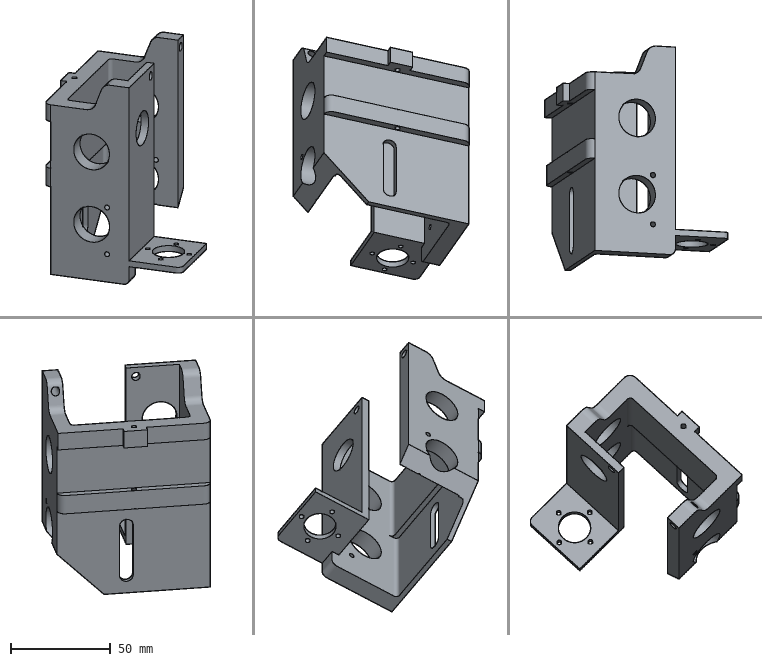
import cadquery as cq

height = 106
body_length = 42.0
body_width = 78.0
side_wall = 5.4
lower_side_wall = 2.8
front_arm = 9.0
back_arm = 8.0
lower_back_arm = 8.4
inner_radius = 2.0

shoulder_z = 91.2
slope_start_x = 22.7
slope_end_x = 28.4
slope_radius = 5.0
bottom_radius = 3.0
corner_cut_width = 24.1
corner_cut_height = 23.7

flange_width = 36
flange_thickness = 4.0
flange_bore = 17.8
flange_bore_y = 19.0
flange_bore_z = 77.4
plate_length = 28.0
plate_z = 9.9
plate_thickness = 3.2
plate_radius = 3.0
plate_bore = 16.1
plate_bore_x = body_length + 14.0
plate_bore_y = flange_bore_y
plate_screw = 2.3
plate_screw_circle = 22.0

rail_depth = 3.7
rail_radius = 4.0
top_rail_height = 9.0
middle_rail_z = 47.1
middle_rail_height = 10.0
lug_reach = 7.0
lug_y = 33.1
lug_width = 12.0
guide_hole = 2.5
guide_hole_x = -1.8

bore_diameter = 19.1
bore_x = 21.9
lower_bore_z = 29.9
upper_bore_z = 68.8
arm_screw = 2.5
arm_screw_x = 30.2
arm_screw_heights = (14.9, 40.1)

pivot_diameter = 4.2
pivot_z = 101.0
pivot_positions = (31.1, 74.0)
slot_y = 42.6
slot_width = 7.0
slot_bottom = 6.4
slot_top = 40.1


def block(x0, x1, y0, y1, z0, z1):
    """Box between opposite corner coordinates."""
    return cq.Workplane("XY").box(x1 - x0, y1 - y0, z1 - z0, centered=False).translate((x0, y0, z0))


def hole_x(diameter, y, z):
    """Cylinder along X through the whole body."""
    return cq.Workplane("YZ").center(y, z).circle(diameter / 2).extrude(body_length)


def hole_y(diameter, x, z):
    """Cylinder along Y through both arms."""
    return cq.Workplane("XZ").center(x, z).circle(diameter / 2).extrude(-body_width)


def hole_z(diameter, x, y):
    """Cylinder along Z through the full height."""
    return cq.Workplane("XY").center(x, y).circle(diameter / 2).extrude(height)


def make_body():
    """U-shaped wall with a flange; the cavity changes width below the middle rail."""
    outline = (
        cq.Workplane("XZ")
        .polyline([
            (0, 0),
            (body_length, 0),
            (body_length, height),
            (slope_end_x, height),
            (slope_start_x, shoulder_z),
            (0, shoulder_z),
        ])
        .close()
        .extrude(-body_width)
    )
    for x, z, radius in (
        (body_length, 0, bottom_radius),
        (slope_end_x, height, slope_radius),
        (slope_start_x, shoulder_z, slope_radius),
    ):
        outline = outline.edges(cq.selectors.NearestToPointSelector((x, body_width / 2, z))).fillet(radius)

    cavity = block(side_wall, body_length, front_arm, body_width - back_arm, 0, height)
    cavity = cavity.edges("|Z and <X").fillet(inner_radius)
    lower_cavity = block(
        lower_side_wall, body_length,
        front_arm, body_width - lower_back_arm,
        0, middle_rail_z,
    )
    lower_cavity = lower_cavity.edges("|Z and <X").fillet(inner_radius)
    flange = block(body_length - flange_thickness, body_length, front_arm, flange_width, plate_z, height)
    flange = flange.cut(hole_x(flange_bore, flange_bore_y, flange_bore_z))
    body = outline.cut(cavity.union(lower_cavity).cut(flange))

    corner = (
        cq.Workplane("YZ")
        .polyline([
            (body_width, 0),
            (body_width - corner_cut_width, 0),
            (body_width, corner_cut_height),
        ])
        .close()
        .extrude(body_length)
    )
    return body.cut(corner)


def make_rails():
    """Top rail rounded at the front, middle rail rounded at both ends, and the lug."""
    top_z = shoulder_z - top_rail_height
    middle_top = middle_rail_z + middle_rail_height
    top_rail = block(-rail_depth, side_wall, 0, body_width, top_z, shoulder_z)
    top_rail = top_rail.edges("|Z and <X and <Y").fillet(rail_radius)
    middle_rail = block(-rail_depth, side_wall, 0, body_width, middle_rail_z, middle_top)
    middle_rail = middle_rail.edges("|Z and <X").fillet(rail_radius)
    lug = block(-lug_reach, 0, lug_y, lug_y + lug_width, top_z, shoulder_z)
    rails = top_rail.union(middle_rail).union(lug)
    return rails.cut(hole_z(guide_hole, guide_hole_x, lug_y + lug_width / 2))


def make_plate():
    """Motor plate with a central bore and four screw holes."""
    plate = block(
        body_length - flange_thickness, body_length + plate_length,
        0, flange_width,
        plate_z, plate_z + plate_thickness,
    )
    plate = plate.edges("|Z and >X and <Y").fillet(plate_radius)
    screws = (
        cq.Workplane("XY")
        .center(plate_bore_x, plate_bore_y)
        .polarArray(plate_screw_circle / 2, 0, 360, 4)
        .circle(plate_screw / 2)
        .extrude(height)
    )
    return plate.cut(hole_z(plate_bore, plate_bore_x, plate_bore_y)).cut(screws)


result = make_body().union(make_rails()).union(make_plate())

for z in (lower_bore_z, upper_bore_z):
    result = result.cut(hole_y(bore_diameter, bore_x, z))
for z in arm_screw_heights:
    result = result.cut(hole_y(arm_screw, arm_screw_x, z))
for y in pivot_positions:
    result = result.cut(hole_x(pivot_diameter, y, pivot_z))

slot = (
    cq.Workplane("YZ")
    .center(slot_y, (slot_bottom + slot_top) / 2)
    .slot2D(slot_top - slot_bottom, slot_width, 90)
    .extrude(lower_side_wall)
)
result = result.cut(slot)